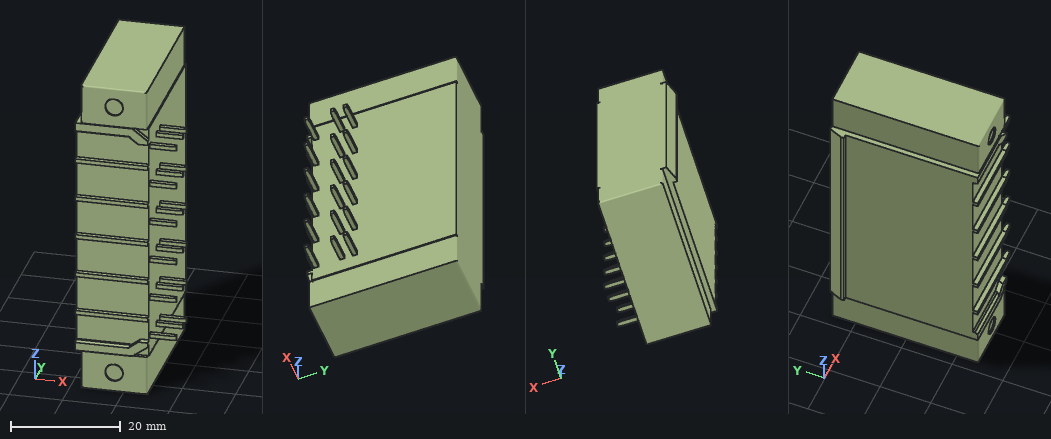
import cadquery as cq

total_length = 61.0
depth = 29.3
pole_pitch = 7.6
pole_count = 6
body_half = pole_count * pole_pitch / 2

body_left = 0.75
body_right = 14.3
rib_height = 1.0
face_y = rib_height

block_left = 1.75
block_right = 14.15
block_front = 0.25
block_fillet = 0.35
block_length = total_length / 2 - body_half
hole_diameter = 3.3
hole_depth = 0.3

hook_step_y = 26.1
hook_tip_y = 26.7
hook_top_x = 1.05

rib_thickness = 0.8
strap_width = 1.95
strap_chamfer = 0.35
strap_chamfer_depth = 0.55
strap_inner_bend_x = 11.15
strap_outer_bend_x = 11.45
strap_slope = 0.75
strap_end_inner = 3.2
strap_end_draft = 0.2

pin_end = 19.3
pin_width = 0.9
pin_tip_width = 0.7
pin_taper = 1.0
pin_thickness = 0.8
pin_embed = 0.6
pin_rows_y = (1.8, 6.95, 9.45)


def prism_along_z(points, length):
    """Extrude an XY outline symmetrically about Z = 0."""
    return cq.Workplane("XY").polyline(points).close().extrude(length / 2, both=True)


def make_body():
    outline = [
        (body_left, face_y),
        (body_right, face_y),
        (body_right, depth),
        (hook_top_x, depth),
        (0, hook_tip_y),
        (0, hook_step_y),
        (body_left, hook_step_y),
    ]
    return prism_along_z(outline, 2 * body_half)


def make_block():
    """Upper mounting block with rounded edges and a shallow round recess in its front."""
    block = (
        cq.Workplane("XY", origin=(0, 0, body_half))
        .moveTo(block_left, block_front)
        .lineTo(block_right, block_front)
        .lineTo(block_right, depth)
        .lineTo(block_left, depth)
        .close()
        .extrude(block_length)
    )
    block = block.edges("|Z or (|X and >Z)").fillet(block_fillet)
    hole_x = (block_left + block_right) / 2
    hole_z = body_half + block_length / 2
    recess = (
        cq.Workplane("XZ", origin=(hole_x, block_front + hole_depth, hole_z))
        .circle(hole_diameter / 2)
        .extrude(hole_depth)
    )
    return block.cut(recess)


def make_rib(z):
    rib = cq.Workplane("XY").box(
        body_right - body_left, rib_height, rib_thickness, centered=(False, False, True)
    )
    return rib.translate((body_left, 0, z))


def make_strap():
    """Upper border strap: a chamfered straight run and a bent end turning inwards."""
    straight = (
        cq.Workplane("YZ", origin=(body_left, 0, 0))
        .polyline([
            (0, body_half),
            (face_y, body_half),
            (face_y, body_half - strap_width),
            (strap_chamfer_depth, body_half - strap_width),
            (0, body_half - strap_width + strap_chamfer),
        ])
        .close()
        .extrude(strap_inner_bend_x - body_left)
    )
    inner_end_x = strap_inner_bend_x + (strap_end_inner - strap_width) / strap_slope
    outer_drop = strap_slope * (body_right - strap_outer_bend_x)
    bend_start_x = strap_inner_bend_x - strap_chamfer / strap_slope
    bent_end = (
        cq.Workplane("XZ", origin=(0, face_y, 0))
        .polyline([
            (bend_start_x, body_half),
            (strap_outer_bend_x, body_half),
            (body_right, body_half - outer_drop),
            (body_right, body_half - strap_end_inner),
            (inner_end_x, body_half - strap_end_inner),
            (bend_start_x, body_half - strap_width + strap_chamfer),
        ])
        .close()
        .extrude(face_y)
    )
    draft_wedge = (
        cq.Workplane("YZ", origin=(strap_inner_bend_x, 0, 0))
        .polyline([
            (0, body_half - strap_end_inner),
            (face_y, body_half - strap_end_inner),
            (0, body_half - strap_end_inner + strap_end_draft),
        ])
        .close()
        .extrude(body_right - strap_inner_bend_x)
    )
    return straight.union(bent_end.cut(draft_wedge))


def make_pin(y, z):
    taper_x = pin_end - pin_taper
    outline = [
        (body_right - pin_embed, y - pin_width / 2),
        (taper_x, y - pin_width / 2),
        (pin_end, y - pin_tip_width / 2),
        (pin_end, y + pin_tip_width / 2),
        (taper_x, y + pin_width / 2),
        (body_right - pin_embed, y + pin_width / 2),
    ]
    return prism_along_z(outline, pin_thickness).translate((0, 0, z))


result = make_body()

for end_feature in (make_block(), make_strap()):
    result = result.union(end_feature).union(end_feature.mirror("XY"))

for index in range(1, pole_count):
    result = result.union(make_rib(index * pole_pitch - body_half))

for index in range(pole_count):
    pole_z = (index + 0.5) * pole_pitch - body_half
    for row_y in pin_rows_y:
        result = result.union(make_pin(row_y, pole_z))